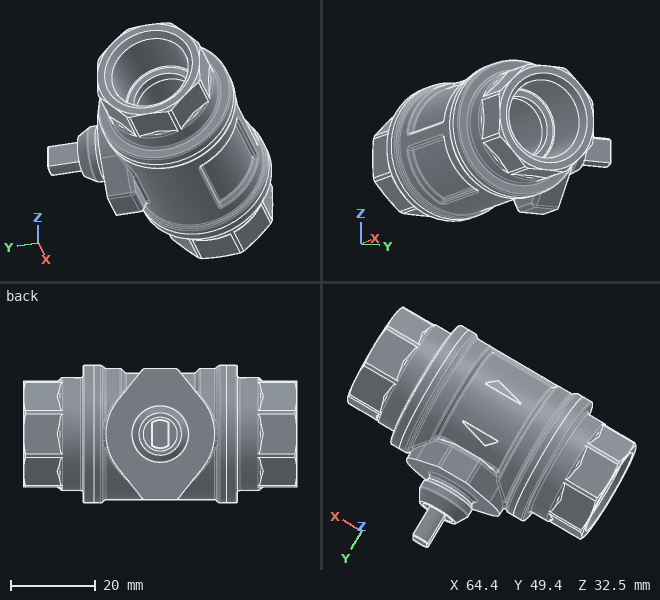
import cadquery as cq
import math

overall_length = 64.4
stem_reach = 49.35
flange_diameter = 32.5
flow_bore = 15.0

flange_outer_x = 18.2
joint_x = 15.65
flange_edge_fillet = 0.35
neck_diameter = 26.7
neck_fillet = 0.55
across_flats = 25.0
flats_inner_x = 24.3
flats_runout_length = 1.3
octagon_end_chamfer = 0.4
thread_diameter = 18.7
thread_mouth_diameter = 21.5
thread_mouth_depth = 1.4
socket_depth = 14.0
thread_floor_chamfer = 0.25

barrel_radius = 15.5
shoulder_x = 13.78
shoulder_outer_fillet = 0.75
shoulder_inner_fillet = 0.65

panel_radius = 14.4
panel_half_length = 9.28
panel_fillet = 0.5
rib_half_width = 1.75
panel_top_end_y = 13.5
bottom_land_half_width = 6.1

pad_bottom_y = 11.1
pad_top_y = 17.9
pad_disc_radius = 12.8
pad_half_height = 15.5
pad_tangent_z = 8.0
pad_edge_fillet = 1.0
pad_seam_fillet = 0.5

collar_neck_radius = 6.0
collar_base_fillet = 0.75
collar_neck_top_y = 19.3
collar_rim_radius = 6.65
collar_rim_bottom_y = 20.2
collar_rim_top_y = 22.1
collar_top_radius = 5.0
collar_top_y = 25.0
collar_rim_fillet = 0.5

stem_tip_y = stem_reach - flange_diameter / 2
stem_shank_diameter = 8.0
stem_seat_y = pad_bottom_y
stem_tip_diameter = 6.85
stem_flats_width = 4.1
stem_tip_chamfer = 0.2

arrow_radius = 14.9
arrow_half_length = 4.75
arrow_base_y = 5.15
arrow_edge_height = 0.3
arrow_peak_height = 2.35
arrow_peak_x = 2.65

flange_radius = flange_diameter / 2
neck_radius = neck_diameter / 2
end_x = overall_length / 2
ORIGIN = (0, 0, 0)
AXIS_X = (1, 0, 0)
AXIS_Y = (0, 1, 0)
AXIS_Z = (0, 0, 1)
selection_margin = 0.1
seam_tolerance = 0.001


def cylinder_x(radius, x_start, x_end):
    return cq.Workplane("YZ").workplane(offset=x_start).circle(radius).extrude(x_end - x_start)


def make_end_connector():
    """Connector on the +X side: joint flange, round neck, octagonal wrench end, threaded socket."""
    outside = (
        cq.Workplane("XY")
        .moveTo(joint_x, 0)
        .lineTo(joint_x, flange_radius)
        .lineTo(flange_outer_x - flange_edge_fillet, flange_radius)
        .tangentArcPoint((flange_outer_x, flange_radius - flange_edge_fillet), relative=False)
        .lineTo(flange_outer_x, neck_radius + neck_fillet)
        .tangentArcPoint((flange_outer_x + neck_fillet, neck_radius), relative=False)
        .lineTo(end_x - octagon_end_chamfer, neck_radius)
        .lineTo(end_x, across_flats / 2)
        .lineTo(end_x, 0)
        .close()
        .revolve(360, ORIGIN, AXIS_X)
    )

    flat_radius = across_flats / 2
    runout_end_x = flats_inner_x - flats_runout_length
    octagon = (
        cq.Workplane("YZ")
        .workplane(offset=runout_end_x)
        .polygon(8, across_flats, circumscribed=True)
        .extrude(end_x - runout_end_x)
    )
    waste = (
        cq.Workplane("XY")
        .moveTo(end_x, flange_radius)
        .lineTo(end_x, flat_radius)
        .lineTo(flats_inner_x, flat_radius)
        .tangentArcPoint(
            ((flats_inner_x + runout_end_x) / 2, (flat_radius + neck_radius) / 2), relative=False
        )
        .tangentArcPoint((runout_end_x, neck_radius), relative=False)
        .lineTo(runout_end_x, flange_radius)
        .close()
        .revolve(360, ORIGIN, AXIS_X)
        .cut(octagon)
    )

    socket_floor_x = end_x - socket_depth
    socket = (
        cq.Workplane("XY")
        .moveTo(joint_x, 0)
        .lineTo(joint_x, flow_bore / 2)
        .lineTo(socket_floor_x, flow_bore / 2)
        .lineTo(socket_floor_x, thread_diameter / 2 - thread_floor_chamfer)
        .lineTo(socket_floor_x + thread_floor_chamfer, thread_diameter / 2)
        .lineTo(end_x - thread_mouth_depth, thread_diameter / 2)
        .lineTo(end_x, thread_mouth_diameter / 2)
        .lineTo(end_x, 0)
        .close()
        .revolve(360, ORIGIN, AXIS_X)
    )
    return outside.cut(waste).cut(socket)


def make_barrel():
    """Round barrel with a 45 degree shoulder down from each joint flange."""
    foot_x = shoulder_x - (flange_radius - barrel_radius)
    barrel = (
        cq.Workplane("XY")
        .moveTo(-joint_x, 0)
        .lineTo(-joint_x, flange_radius)
        .lineTo(-shoulder_x, flange_radius)
        .lineTo(-foot_x, barrel_radius)
        .lineTo(foot_x, barrel_radius)
        .lineTo(shoulder_x, flange_radius)
        .lineTo(joint_x, flange_radius)
        .lineTo(joint_x, 0)
        .close()
        .revolve(360, ORIGIN, AXIS_X)
    )
    for corner_x, fillet in (
        (shoulder_x, shoulder_outer_fillet),
        (foot_x, shoulder_inner_fillet),
    ):
        for side in (-1, 1):
            at_corner = cq.selectors.BoxSelector(
                (side * corner_x - selection_margin, -flange_diameter, -flange_diameter),
                (side * corner_x + selection_margin, flange_diameter, flange_diameter),
                boundingbox=True,
            )
            barrel = barrel.edges(at_corner).edges("%CIRCLE").fillet(fillet)
    return barrel


def sink_panels(barrel):
    """Cut the upper and lower panels into the barrel and round their walls and floors."""
    for cutter in (
        make_panel_cutter(-flange_radius, panel_top_end_y, rib_half_width, flange_radius),
        make_panel_cutter(-flange_radius, -bottom_land_half_width, -flange_radius, -rib_half_width),
    ):
        barrel = barrel.cut(cutter)
    panel_edges = cq.selectors.BoxSelector(
        (-panel_half_length - selection_margin, -flange_radius, -flange_radius),
        (panel_half_length + selection_margin, panel_top_end_y + selection_margin, flange_radius),
        boundingbox=True,
    )
    buried_edges = cq.selectors.BoxSelector(
        (-flange_radius, panel_top_end_y - selection_margin, 0),
        (flange_radius, panel_top_end_y + selection_margin, flange_radius),
        boundingbox=True,
    )
    return barrel.edges(panel_edges - buried_edges).fillet(panel_fillet)


def join_with_fillet(first, second, radius):
    """Union of two solids with a fillet along the seam, where an edge lies on both skins."""
    joined = first.union(second)
    skins = [part.val().Shells()[0] for part in (first, second)]
    seam = []
    for edge in joined.edges().vals():
        middle = cq.Vertex.makeVertex(*edge.positionAt(0.5).toTuple())
        if all(skin.distance(middle) < seam_tolerance for skin in skins):
            seam.append(edge)
    return joined.newObject(seam).fillet(radius)


def make_panel_cutter(y_start, y_end, z_start, z_end):
    """Part of a ring with 45 degree end walls, kept inside a block in Y and Z."""
    floor_half_length = panel_half_length - (barrel_radius - panel_radius)
    rise = flange_radius - panel_radius
    ring = (
        cq.Workplane("XY")
        .moveTo(-floor_half_length, panel_radius)
        .lineTo(-floor_half_length - rise, flange_radius)
        .lineTo(floor_half_length + rise, flange_radius)
        .lineTo(floor_half_length, panel_radius)
        .close()
        .revolve(360, ORIGIN, AXIS_X)
    )
    block = (
        cq.Workplane("XY", origin=(0, y_start, z_start))
        .box(overall_length, y_end - y_start, z_end - z_start, centered=(True, False, False))
    )
    return ring.intersect(block)


def make_pad():
    """Disc with a straight-sided lobe up and down, tangent to the disc, and a rounded lower edge."""
    tangent_x = math.sqrt(pad_disc_radius**2 - pad_tangent_z**2)
    corner_x = tangent_x - (pad_half_height - pad_tangent_z) * pad_tangent_z / tangent_x
    pad = (
        cq.Workplane("XZ", origin=(0, pad_top_y, 0))
        .moveTo(tangent_x, -pad_tangent_z)
        .threePointArc((pad_disc_radius, 0), (tangent_x, pad_tangent_z))
        .lineTo(corner_x, pad_half_height)
        .lineTo(-corner_x, pad_half_height)
        .lineTo(-tangent_x, pad_tangent_z)
        .threePointArc((-pad_disc_radius, 0), (-tangent_x, -pad_tangent_z))
        .lineTo(-corner_x, -pad_half_height)
        .lineTo(corner_x, -pad_half_height)
        .close()
        .extrude(pad_top_y - pad_bottom_y)
    )
    lobe_corners = cq.selectors.BoxSelector(
        (-corner_x - selection_margin, 0, -flange_radius),
        (corner_x + selection_margin, pad_top_y, flange_radius),
    )
    pad = pad.edges("|Y").edges(lobe_corners).fillet(pad_edge_fillet)
    return pad.faces("<Y").edges().fillet(pad_edge_fillet)


def make_collar():
    """Collar turned about Y, with a waisted neck below a conical rim."""
    base_y = pad_top_y + collar_base_fillet
    collar = (
        cq.Workplane("XY")
        .moveTo(0, pad_bottom_y)
        .lineTo(collar_neck_radius + collar_base_fillet, pad_bottom_y)
        .lineTo(collar_neck_radius + collar_base_fillet, pad_top_y)
        .radiusArc((collar_neck_radius, base_y), collar_base_fillet)
        .lineTo(collar_neck_radius, collar_neck_top_y)
        .lineTo(collar_rim_radius, collar_rim_bottom_y)
        .lineTo(collar_rim_radius, collar_rim_top_y)
        .lineTo(collar_top_radius, collar_top_y)
        .lineTo(0, collar_top_y)
        .close()
        .revolve(360, ORIGIN, AXIS_Y)
    )
    rim_edge = cq.selectors.BoxSelector(
        (-flange_radius, collar_rim_top_y - selection_margin, -flange_radius),
        (flange_radius, collar_rim_top_y + selection_margin, flange_radius),
        boundingbox=True,
    )
    return collar.edges(rim_edge).fillet(collar_rim_fillet)


def make_arrow():
    """Arrow pointing to +X, on the -Y half of the upper panel."""
    outline = (
        cq.Workplane("XY")
        .moveTo(-arrow_half_length, -arrow_base_y)
        .lineTo(arrow_half_length, -arrow_base_y)
        .lineTo(arrow_half_length, -arrow_base_y - arrow_edge_height)
        .lineTo(arrow_peak_x, -arrow_base_y - arrow_peak_height)
        .lineTo(-arrow_half_length, -arrow_base_y - arrow_edge_height)
        .close()
        .extrude(barrel_radius)
    )
    return outline.intersect(cylinder_x(arrow_radius, -panel_half_length, panel_half_length))


def make_shank():
    """Round shank of the stem, also used to bore its matching hole through the collar."""
    return (
        cq.Workplane("XZ", origin=(0, stem_seat_y, 0))
        .circle(stem_shank_diameter / 2)
        .extrude(stem_seat_y - collar_top_y)
    )


def make_body():
    """Barrel with sunk panels, mounting pad, collar and raised arrows, bored for flow and stem."""
    barrel = sink_panels(make_barrel())
    body = join_with_fillet(barrel, make_pad(), pad_seam_fillet)
    body = body.union(make_collar())
    arrow = make_arrow()
    body = body.union(arrow).union(arrow.rotate(ORIGIN, AXIS_Z, 180))
    body = body.cut(cylinder_x(flow_bore / 2, -joint_x, joint_x))
    return body.cut(make_shank())


def make_stem():
    """Round shank filling the collar, with a tip that has two flats."""
    tip_length = stem_tip_y - collar_top_y
    flats = (
        cq.Workplane("XY", origin=(0, collar_top_y, 0))
        .box(stem_flats_width, tip_length, stem_tip_diameter, centered=(True, False, True))
    )
    tip = (
        cq.Workplane("XZ", origin=(0, collar_top_y, 0))
        .circle(stem_tip_diameter / 2)
        .extrude(-tip_length)
        .intersect(flats)
        .faces(">Y")
        .edges()
        .chamfer(stem_tip_chamfer)
    )
    return make_shank().union(tip)


body = make_body()
stem = make_stem()
connector = make_end_connector()
connectors = [connector.rotate(ORIGIN, AXIS_Y, angle) for angle in (0, 180)]

result = cq.Compound.makeCompound([body.val(), stem.val(), *[c.val() for c in connectors]])